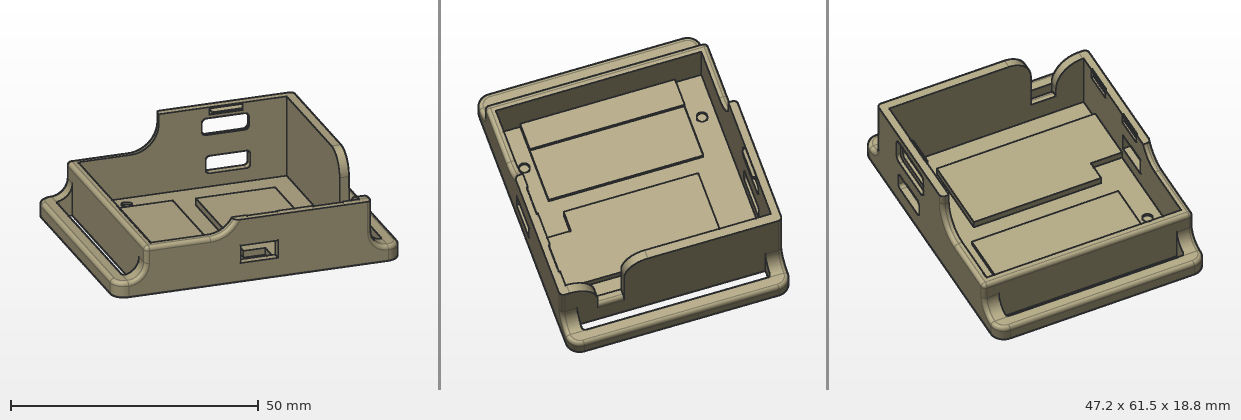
import cadquery as cq
import math

WIDTH = 47.2
LENGTH = 61.5
PLATE_HEIGHT = 3.55
CORNER_RADIUS = 2.95
RIM_FILLET = 0.9
BOTTOM_FILLET = 0.4

TRAY_LENGTH = 48.6
LEFT_HEIGHT = 18.75
RIGHT_HEIGHT = 13.8
FRONT_HEIGHT = 10.7
LEFT_STEP_FOOT_Y = -11.1
RIGHT_STEP_FOOT_Y = -10.25
SIDE_STEP_RADIUS = 6.0

CAVITY_WIDTH = 43.65
CAVITY_FRONT_Y = -22.4
CAVITY_BACK_Y = 22.25
FLOOR_Z = 1.35

STRAP_SLOT_WIDTH = 39.95
STRAP_SLOT_RADIUS = 0.75

NOTCH_LEFT_X = 10.0
NOTCH_RIGHT_X = 15.6
NOTCH_BOTTOM_Z = 5.7
NOTCH_LEFT_RADIUS = 5.0
NOTCH_RIGHT_RADIUS = 6.0

PAD_LEFT_X = -13.8
PAD_FRONT_Y = -0.05
PAD_BACK_Y = 16.9
PAD_RISE = 1.5
PAD_NOTCH_X = 14.8
PAD_NOTCH_Y = 4.6
PLATFORM_LEFT_X = -16.25
PLATFORM_RIGHT_X = 16.65
PLATFORM_BACK_Y = -4.1
PLATFORM_STEP_Y = -16.2
PLATFORM_RISE = 0.6
HOLE_DIAMETER = 2.2
HOLE_SPACING = 37.75
HOLE_Y = -13.05
HOLE_DEPTH = 0.5

UPPER_PORT = (9.15, 14.5, 10.15, 3.6)
UPPER_PORT_RADIUS = 1.0
PORT_RECESS = (9.15, 14.2, 12.35, 5.6)
PORT_RECESS_RADIUS = 1.2
PORT_RECESS_DEPTH = 0.9
LOWER_PORT = (9.7, 6.15, 9.55, 3.8)
RIGHT_PORT = (0.25, 6.15, 8.0, 3.8)
LOWER_PORT_RADIUS = 0.8

CLIP_LENGTH = 7.25
CLIP_Y = 9.3
CLIP_Z = 17.8
CLIP_HEIGHT = 1.35
CLIP_TIP_HEIGHT = 0.25
CLIP_DEPTH = 0.75
CLIP_END_BEVEL = 0.4
GROOVE_LENGTH = 6.45
GROOVE_CENTRES_Y = (15.55, 1.4)
GROOVE_BOTTOM_Z = 11.5
GROOVE_ROOF_Z = 12.55
GROOVE_LIP_Z = 13.0
GROOVE_DEPTH = 0.55
GROOVE_LIP_DEPTH = 0.25

SIDE_X = WIDTH / 2
END_Y = LENGTH / 2
TRAY_Y = TRAY_LENGTH / 2
CAVITY_X = CAVITY_WIDTH / 2
BAR_Y = END_Y - CORNER_RADIUS
FOOT_RADIUS = BAR_Y - TRAY_Y
HALVES_SEAM_X = (NOTCH_LEFT_X + NOTCH_RIGHT_X) / 2
TOLERANCE = 0.005


def box(x0, x1, y0, y1, z0, z1):
    """Axis-aligned block between two opposite corners."""
    return cq.Workplane("XY").box(x1 - x0, y1 - y0, z1 - z0, centered=False).translate((x0, y0, z0))


def near(a, b):
    """True when two coordinates coincide."""
    return abs(a - b) < TOLERANCE


def side_profile(height, step_foot_y):
    """Side outline with concave feet at both ends and a concave step down to the front wall."""
    arc_z = FRONT_HEIGHT + SIDE_STEP_RADIUS
    foot_z = PLATE_HEIGHT + FOOT_RADIUS
    outline = (
        cq.Workplane("YZ")
        .moveTo(-END_Y, 0)
        .lineTo(END_Y, 0)
        .lineTo(END_Y, PLATE_HEIGHT)
        .lineTo(BAR_Y, PLATE_HEIGHT)
        .radiusArc((TRAY_Y, foot_z), FOOT_RADIUS)
        .lineTo(TRAY_Y, height)
    )
    if height > arc_z:
        step_y = step_foot_y + SIDE_STEP_RADIUS
        outline = outline.lineTo(step_y, height).lineTo(step_y, arc_z)
    else:
        reach = math.sqrt(SIDE_STEP_RADIUS**2 - (arc_z - height) ** 2)
        outline = outline.lineTo(step_foot_y + reach, height)
    return (
        outline.radiusArc((step_foot_y, FRONT_HEIGHT), SIDE_STEP_RADIUS)
        .lineTo(-TRAY_Y, FRONT_HEIGHT)
        .lineTo(-TRAY_Y, foot_z)
        .radiusArc((-BAR_Y, PLATE_HEIGHT), FOOT_RADIUS)
        .lineTo(-END_Y, PLATE_HEIGHT)
        .close()
    )


def half_body(height, step_foot_y, outer_x):
    """Solid from the seam out to one side wall, with its outer rim rounded."""
    body = side_profile(height, step_foot_y).extrude(outer_x - HALVES_SEAM_X)
    body = body.translate((HALVES_SEAM_X, 0, 0))

    def is_corner(edge):
        centre = edge.Center()
        return near(centre.x, outer_x) and near(abs(centre.y), END_Y)

    def is_rim(edge):
        bounds = edge.BoundingBox()
        centre = edge.Center()
        if near(bounds.zmin, height) or bounds.zmax < PLATE_HEIGHT - TOLERANCE:
            return False
        on_side = near(bounds.xmin, outer_x) and near(bounds.xmax, outer_x) and bounds.zmin > TOLERANCE
        front_top = near(centre.y, -TRAY_Y) and near(bounds.zmin, FRONT_HEIGHT)
        plate_end = near(abs(centre.y), END_Y) and near(bounds.zmin, PLATE_HEIGHT)
        return on_side or front_top or plate_end

    corners = [e for e in body.edges("|Z").vals() if is_corner(e)]
    body = body.newObject(corners).fillet(CORNER_RADIUS)
    rim = [e for e in body.edges().vals() if is_rim(e)]
    return body.newObject(rim).fillet(RIM_FILLET)


def strap_slot(direction):
    """Cut-out between the tray and the strap bar, at the back (1) or the front (-1)."""
    half_width = STRAP_SLOT_WIDTH / 2
    slot = box(-half_width, half_width, TRAY_Y, BAR_Y, 0, LEFT_HEIGHT)
    slot = slot.edges("|Z and >Y").fillet(STRAP_SLOT_RADIUS)
    return slot if direction > 0 else slot.mirror("XZ")


def back_notch():
    """Opening through the back wall, flared at the top by two convex wall ends."""
    left_top_x = NOTCH_LEFT_X - NOTCH_LEFT_RADIUS
    right_top_x = NOTCH_RIGHT_X + NOTCH_RIGHT_RADIUS
    return (
        cq.Workplane("XZ")
        .moveTo(NOTCH_LEFT_X, NOTCH_BOTTOM_Z)
        .lineTo(NOTCH_RIGHT_X, NOTCH_BOTTOM_Z)
        .lineTo(NOTCH_RIGHT_X, RIGHT_HEIGHT - NOTCH_RIGHT_RADIUS)
        .radiusArc((right_top_x, RIGHT_HEIGHT), NOTCH_RIGHT_RADIUS)
        .lineTo(right_top_x, LEFT_HEIGHT)
        .lineTo(left_top_x, LEFT_HEIGHT)
        .radiusArc((NOTCH_LEFT_X, LEFT_HEIGHT - NOTCH_LEFT_RADIUS), NOTCH_LEFT_RADIUS)
        .close()
        .extrude(TRAY_Y - CAVITY_BACK_Y)
        .translate((0, TRAY_Y, 0))
    )


def port_block(port, x0, x1):
    """Rectangular block crossing a side wall."""
    y, z, length, height = port
    return box(x0, x1, y - length / 2, y + length / 2, z - height / 2, z + height / 2)


def rounded_port(port, radius, x0, x1):
    """Port block with rounded corners."""
    return port_block(port, x0, x1).edges("|X").fillet(radius)


def clip_bump():
    """Blunt tapered ridge with bevelled ends on the inside of the left wall."""
    ridge = (
        cq.Workplane("XZ")
        .polyline([
            (-CAVITY_X, CLIP_Z - CLIP_HEIGHT / 2),
            (-CAVITY_X + CLIP_DEPTH, CLIP_Z - CLIP_TIP_HEIGHT / 2),
            (-CAVITY_X + CLIP_DEPTH, CLIP_Z + CLIP_TIP_HEIGHT / 2),
            (-CAVITY_X, CLIP_Z + CLIP_HEIGHT / 2),
        ])
        .close()
        .extrude(CLIP_LENGTH / 2, both=True)
    )
    half = CLIP_LENGTH / 2
    plan = (
        cq.Workplane("XY")
        .polyline([
            (-CAVITY_X, -half),
            (-CAVITY_X + CLIP_DEPTH, -half + CLIP_END_BEVEL),
            (-CAVITY_X + CLIP_DEPTH, half - CLIP_END_BEVEL),
            (-CAVITY_X, half),
        ])
        .close()
        .extrude(LEFT_HEIGHT)
    )
    return ridge.intersect(plan).translate((0, CLIP_Y, 0))


def clip_groove(centre_y):
    """Undercut in the right wall with a sloping roof, joined to the wall top by a shallow relief."""
    return (
        cq.Workplane("XZ")
        .polyline([
            (CAVITY_X, GROOVE_BOTTOM_Z),
            (CAVITY_X + GROOVE_DEPTH, GROOVE_BOTTOM_Z),
            (CAVITY_X + GROOVE_DEPTH, GROOVE_ROOF_Z),
            (CAVITY_X + GROOVE_LIP_DEPTH, GROOVE_LIP_Z),
            (CAVITY_X + GROOVE_LIP_DEPTH, RIGHT_HEIGHT),
            (CAVITY_X, RIGHT_HEIGHT),
        ])
        .close()
        .extrude(GROOVE_LENGTH / 2, both=True)
        .translate((0, centre_y, 0))
    )


left_half = half_body(LEFT_HEIGHT, LEFT_STEP_FOOT_Y, -SIDE_X)
right_half = half_body(RIGHT_HEIGHT, RIGHT_STEP_FOOT_Y, SIDE_X)
body = left_half.union(right_half)
body = body.faces("<Z").edges().fillet(BOTTOM_FILLET)
for direction in (1, -1):
    body = body.cut(strap_slot(direction))

body = body.cut(box(-CAVITY_X, CAVITY_X, CAVITY_FRONT_Y, CAVITY_BACK_Y, FLOOR_Z, LEFT_HEIGHT))
body = body.cut(back_notch())
sill = body.edges(cq.selectors.NearestToPointSelector((HALVES_SEAM_X, TRAY_Y, NOTCH_BOTTOM_Z)))
body = sill.fillet(RIM_FILLET)

pad = box(PAD_LEFT_X, CAVITY_X, PAD_FRONT_Y, PAD_BACK_Y, FLOOR_Z, FLOOR_Z + PAD_RISE)
pad = pad.cut(box(PAD_NOTCH_X, CAVITY_X, PAD_FRONT_Y, PAD_NOTCH_Y, FLOOR_Z, FLOOR_Z + PAD_RISE))
body = body.union(pad)
for level, back_y in ((1, PLATFORM_BACK_Y), (2, PLATFORM_STEP_Y)):
    top_z = FLOOR_Z + level * PLATFORM_RISE
    body = body.union(
        box(PLATFORM_LEFT_X, PLATFORM_RIGHT_X, CAVITY_FRONT_Y, back_y, FLOOR_Z, top_z)
    )

holes = (
    cq.Workplane("XY", origin=(0, HOLE_Y, FLOOR_Z))
    .rarray(HOLE_SPACING, 0.6, 2, 1)
    .circle(HOLE_DIAMETER / 2)
    .extrude(-HOLE_DEPTH)
)
body = body.cut(holes)

body = body.cut(rounded_port(UPPER_PORT, UPPER_PORT_RADIUS, -SIDE_X, -CAVITY_X))
body = body.cut(rounded_port(PORT_RECESS, PORT_RECESS_RADIUS, -SIDE_X, -SIDE_X + PORT_RECESS_DEPTH))
body = body.cut(rounded_port(LOWER_PORT, LOWER_PORT_RADIUS, -SIDE_X, -CAVITY_X))
body = body.cut(port_block(RIGHT_PORT, CAVITY_X, SIDE_X))

body = body.union(clip_bump())
for centre_y in GROOVE_CENTRES_Y:
    body = body.cut(clip_groove(centre_y))

result = body